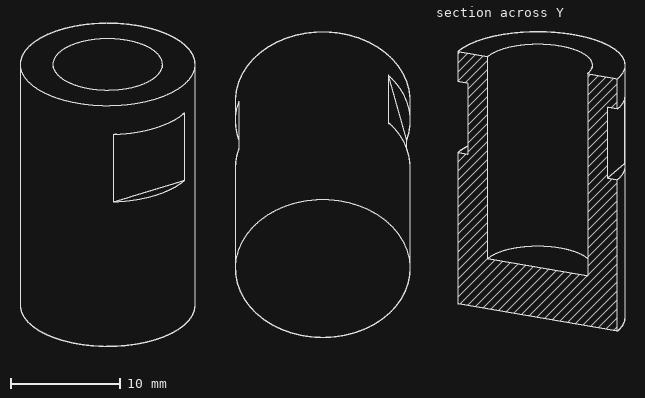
import cadquery as cq

length = 25.0
outer_diameter = 16.0
bore_diameter = 10.0
floor_thickness = 5.0

across_flats = 14.0
flat_height = 7.0
flat_top_margin = 3.0

flat_bottom = length - flat_top_margin - flat_height
flat_cut_depth = (outer_diameter - across_flats) / 2


def make_sleeve():
    """Cylinder standing on Z = 0 with a blind bore from the top."""
    body = cq.Workplane("XY").circle(outer_diameter / 2).extrude(length)
    bore = (
        cq.Workplane("XY")
        .workplane(offset=floor_thickness)
        .circle(bore_diameter / 2)
        .extrude(length - floor_thickness)
    )
    return body.cut(bore)


def make_flat_cutter(side):
    """Block that removes one wrench flat; side is -1 or +1 along X."""
    center_x = side * (across_flats + flat_cut_depth) / 2
    return (
        cq.Workplane("XY")
        .box(flat_cut_depth, outer_diameter, flat_height, centered=(True, True, False))
        .translate((center_x, 0, flat_bottom))
    )


result = make_sleeve()
for side in (-1, 1):
    result = result.cut(make_flat_cutter(side))